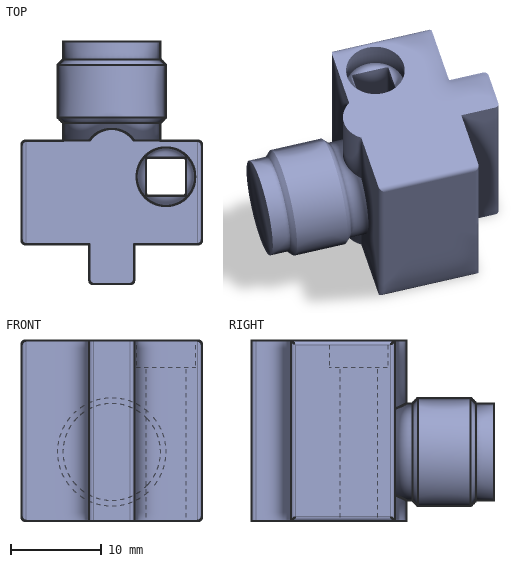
import cadquery as cq

block_width = 20.0
block_depth = 11.5
block_height = 20.0
edge_radius = 0.5

rib_width = 5.0
rib_depth = 4.4
bead_radius = 3.0
bead_projection = 1.3

connector_axis_height = 7.65
connector_diameter = 10.77
collar_diameter = 12.0
neck_length = 1.95
collar_length = 7.05
tip_length = 2.0
collar_bevel = (collar_diameter - connector_diameter) / 2

passage_x = 6.0
passage_y = -4.0
passage_width = 4.4
passage_length = 4.2
passage_corner_radius = 0.2
counterbore_diameter = 6.5
counterbore_depth = 3.0


def make_block():
    """Plain block with the edges around both of its side faces rounded."""
    block = cq.Workplane("XY").box(
        block_width, block_depth, block_height, centered=(True, False, False)
    )
    block = block.translate((0, -block_depth, 0))
    return block.faces("<X or >X").edges().fillet(edge_radius)


def make_rib():
    """Rib that starts inside the block, with its two front edges rounded."""
    root_overlap = block_depth / 2
    rib_length = rib_depth + root_overlap
    rib = cq.Workplane("XY").box(
        rib_width, rib_length, block_height, centered=(True, False, False)
    )
    rib = rib.translate((0, -block_depth - rib_depth, 0))
    return rib.faces("<Y").edges("|Z").fillet(edge_radius)


def make_bead():
    """Upright cylinder, partly sunk into the back face."""
    bead_y = bead_projection - bead_radius
    return cq.Workplane("XY").center(0, bead_y).circle(bead_radius).extrude(block_height)


def cylinder_along_y(diameter, start, length):
    """Cylinder on the connector axis, running from Y = start towards +Y."""
    plane = cq.Plane(
        origin=(0, start, connector_axis_height), xDir=(1, 0, 0), normal=(0, 1, 0)
    )
    return cq.Workplane(plane).circle(diameter / 2).extrude(length)


def make_connector():
    """Cylinder rooted in the block, carrying a collar bevelled at both ends."""
    root_overlap = block_depth / 2
    barrel_length = root_overlap + neck_length + collar_length + tip_length
    barrel = cylinder_along_y(connector_diameter, -root_overlap, barrel_length)
    collar = cylinder_along_y(collar_diameter, neck_length, collar_length)
    collar = collar.faces("<Y or >Y").edges().chamfer(collar_bevel)
    return barrel.union(collar)


def make_passage():
    """Cutting tool: rectangular through hole with a round counterbore at the top."""
    hole = cq.Workplane("XY").center(passage_x, passage_y)
    hole = hole.rect(passage_width, passage_length).extrude(block_height)
    hole = hole.edges("|Z").fillet(passage_corner_radius)
    counterbore = (
        cq.Workplane("XY", origin=(passage_x, passage_y, block_height))
        .circle(counterbore_diameter / 2)
        .extrude(-counterbore_depth)
    )
    return hole.union(counterbore)


body = make_block().union(make_rib()).union(make_bead()).union(make_connector())
result = body.cut(make_passage())